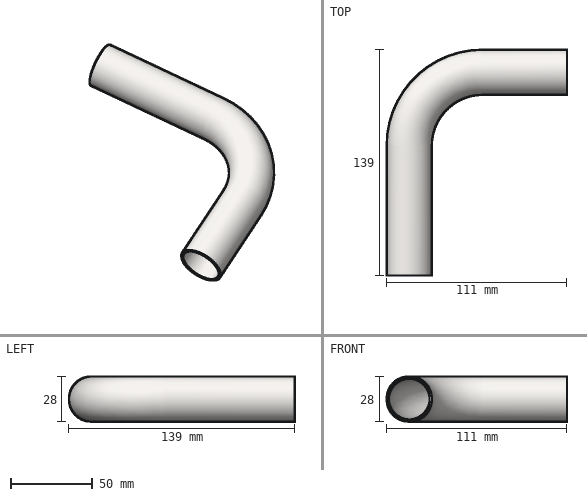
import cadquery as cq

overall_x = 111.0
overall_y = 139.0

outer_diameter = 28.0
inner_diameter = 25.0
bend_radius = 45.0

bend_reach = bend_radius + outer_diameter / 2
long_leg = overall_y - bend_reach
short_leg = overall_x - bend_reach


def tube_section(workplane):
    """Draw the ring-shaped tube section on a workplane."""
    return workplane.circle(outer_diameter / 2).circle(inner_diameter / 2)


long_tube = tube_section(cq.Workplane("XZ")).extrude(-long_leg)

bend_start = cq.Workplane("XZ", origin=(0, long_leg, 0))
bend = tube_section(bend_start).revolve(90, (bend_radius, 0, 0), (bend_radius, -1, 0))

short_start = cq.Workplane("YZ", origin=(bend_radius, long_leg + bend_radius, 0))
short_tube = tube_section(short_start).extrude(short_leg)

result = long_tube.union(bend).union(short_tube)